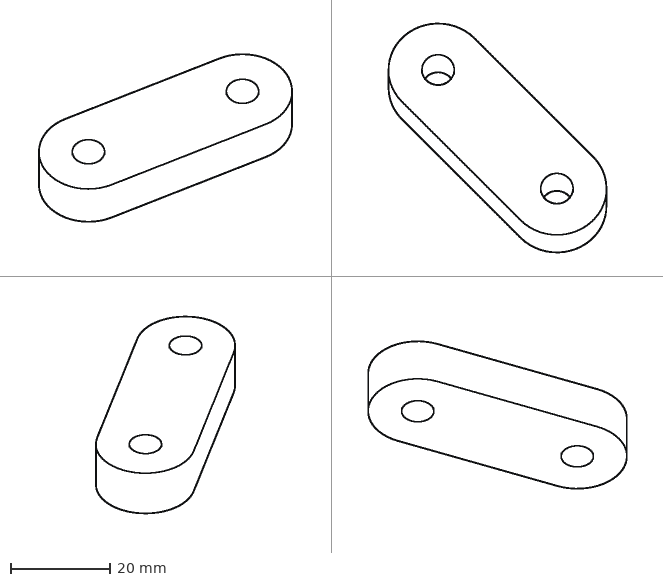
import cadquery as cq

width = 20.0
hole_spacing = 35.0
thickness = 10.0
hole_diameter = 6.5

length = hole_spacing + width


def link_body():
    """Flat bar with full-round ends, long axis along Y, centred on the origin."""
    long_axis_angle = 90
    return (
        cq.Workplane("XY")
        .slot2D(length, width, long_axis_angle)
        .extrude(thickness / 2, both=True)
    )


def drill_end_holes(body):
    """Through hole at the centre of each rounded end."""
    hole_centres = [(0, -hole_spacing / 2), (0, hole_spacing / 2)]
    return body.faces(">Z").workplane().pushPoints(hole_centres).hole(hole_diameter)


result = drill_end_holes(link_body())